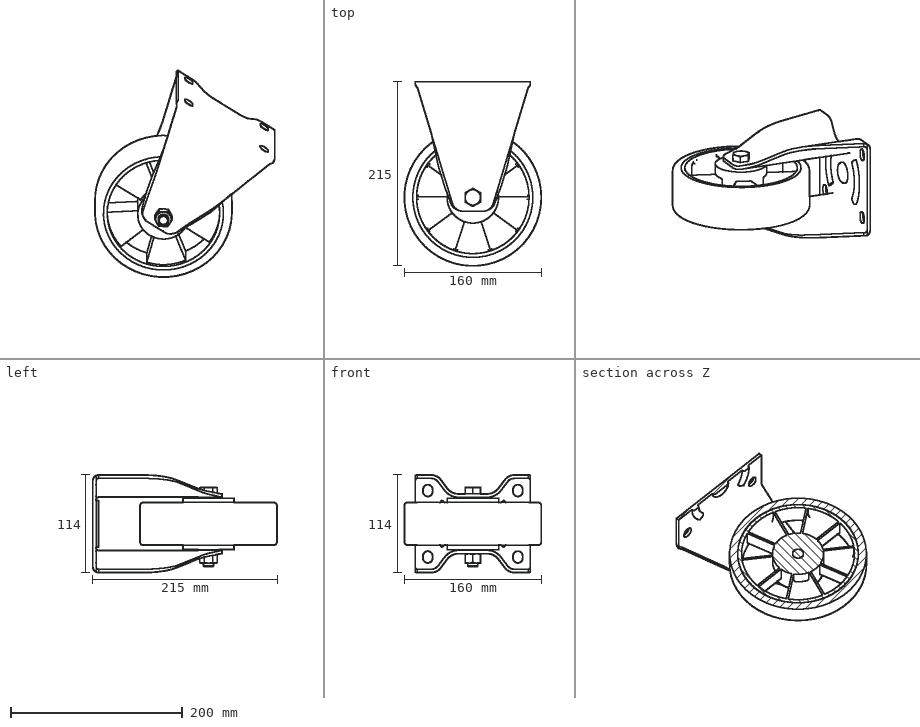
import cadquery as cq
import math


wheel_diameter = 160.0
wheel_width = 50.0
tread_edge_round = 4.0
core_radius = 70.0
rim_inner_radius = 65.6
hub_radius = 30.0
hub_length = 60.0
web_top = 18.5
web_thickness = 4.0
lowered_floor = web_thickness - web_top
sector_count = 5
sector_angle = 180.0 / sector_count
first_lowered_angle = 0.5 * sector_angle
first_raised_angle = 1.5 * sector_angle
wall_face_offset = 0.5
wall_thickness = 3.0
wall_edge_round = 2.4
floor_round = 2.0
wall_foot_round = 2.5

sheet = 4.0
plate_back = 135.0
plate_face = plate_back - sheet
plate_half_width = 67.2
bracket_height = 114.0
bend_radius = 7.0
leg_start = plate_back - bend_radius
leg_start_half_width = 64.7
leg_tip = -16.0
leg_taper = 0.303
leg_tip_round = 12.0
leg_spacing = 62.0
valley_half_width = 17.0
valley_radius = 16.0
crest_radius = 14.0
flank_angle = math.atan2(4, 3)

slot_pitch_x = 105.0
slot_pitch_z = 77.5
slot_width = 11.0
slot_length = 13.5

emboss_height = 3.0
emboss_arc_inner = 36.0
emboss_arc_outer = 45.5
emboss_arc_half_angle = 37.0
emboss_arc_round = 2.0
emboss_disc_radius = 12.5
emboss_disc_round = 2.9

bolt_diameter = 12.0
hex_across_flats = 18.0
head_height = 7.5
nut_height = 10.8
bolt_end = -50.0
bolt_tip_chamfer = 1.0
hex_chamfer_angle = math.radians(30)
washer_diameter = 25.0

leg_outer = leg_spacing / 2 + sheet
washer_height = (leg_spacing - hub_length) / 2


def ring(inner_radius, outer_radius, bottom, top):
    """Annulus about the Z axis."""
    return (
        cq.Workplane("XY", origin=(0, 0, bottom))
        .circle(outer_radius)
        .circle(inner_radius)
        .extrude(top - bottom)
    )


def make_tread():
    half_width = wheel_width / 2
    tread = ring(core_radius, wheel_diameter / 2, -half_width, half_width)
    rim_edges = cq.selectors.RadiusNthSelector(-1)
    return tread.edges("%CIRCLE").edges(rim_edges).fillet(tread_edge_round)


def sector_wedge(middle_angle, side_offset, bottom, top, foot_round=0, crown_round=0):
    """Wedge over one sector, its sides moved outward by side_offset, with rounded lower or upper sides."""
    half_angle = math.radians(sector_angle / 2)
    apex = -side_offset / math.sin(half_angle)
    near = hub_radius / 2
    far = 2 * core_radius
    near_half_width = (near - apex) * math.tan(half_angle)
    far_half_width = (far - apex) * math.tan(half_angle)
    wedge = (
        cq.Workplane("XY", origin=(0, 0, bottom))
        .polyline([
            (near, near_half_width),
            (near, -near_half_width),
            (far, -far_half_width),
            (far, far_half_width),
        ])
        .close()
        .extrude(top - bottom)
    )
    if foot_round:
        wedge = wedge.faces("<Z").edges("not |Y").fillet(foot_round)
    if crown_round:
        wedge = wedge.faces(">Z").edges("not |Y").fillet(crown_round)
    return wedge.rotate((0, 0, 0), (0, 0, 1), middle_angle)


def raised_sector(angle):
    """Raised plate with its two upright walls, open below."""
    block = sector_wedge(angle, wall_face_offset, -web_top, web_top, crown_round=wall_edge_round)
    hollow = sector_wedge(angle, wall_face_offset - wall_thickness, -web_top, web_top - web_thickness)
    return block.cut(hollow)


def lowered_sector(angle):
    """Lowered plate, swept up in a rounding where it meets the walls."""
    block = sector_wedge(angle, -wall_face_offset, -web_top, lowered_floor + wall_foot_round)
    return block.cut(
        sector_wedge(angle, -wall_face_offset, lowered_floor, web_top, foot_round=wall_foot_round)
    )


def rim_cove(floor):
    """Concave rounding ring in the corner between a web floor and the rim."""
    inner = rim_inner_radius - floor_round
    bend = floor_round * math.sqrt(0.5)
    return (
        cq.Workplane("XZ")
        .moveTo(inner, floor)
        .threePointArc((inner + bend, floor + floor_round - bend), (rim_inner_radius, floor + floor_round))
        .lineTo(core_radius, floor + floor_round)
        .lineTo(core_radius, floor)
        .close()
        .revolve(360, (0, 0, 0), (0, 1, 0))
    )


def make_core():
    half_width = wheel_width / 2
    rim = ring(rim_inner_radius, core_radius, -half_width, half_width)
    hub = ring(bolt_diameter / 2, hub_radius, -hub_length / 2, hub_length / 2)
    web_space = ring(hub_radius, rim_inner_radius, -half_width, half_width)
    core = hub.union(rim)
    raised_cove = rim_cove(web_top)
    lowered_cove = rim_cove(lowered_floor)
    for i in range(sector_count):
        turn = 2 * i * sector_angle
        raised_angle = first_raised_angle + turn
        lowered_angle = first_lowered_angle + turn
        core = core.union(raised_sector(raised_angle).intersect(web_space))
        core = core.union(lowered_sector(lowered_angle).intersect(web_space))
        raised_space = sector_wedge(
            raised_angle, wall_face_offset - wall_edge_round, web_top, half_width
        )
        lowered_space = sector_wedge(lowered_angle, -wall_face_offset, lowered_floor, web_top)
        core = core.union(raised_cove.intersect(raised_space))
        core = core.union(lowered_cove.intersect(lowered_space))
    return core


def corrugated_block(depth, half_width, front, back):
    """Block along Y whose top and bottom follow the leg corrugation, set in by depth."""
    sin_a = math.sin(flank_angle)
    cos_a = math.cos(flank_angle)
    valley_z = leg_outer - depth
    crest_z = bracket_height / 2 - depth
    valley_r = valley_radius + depth
    crest_r = crest_radius - depth
    rise = crest_z - valley_z
    flank_length = (rise - (valley_r + crest_r) * (1 - cos_a)) / sin_a
    crest_x = valley_half_width + (valley_r + crest_r) * sin_a + flank_length * cos_a

    def valley_point(angle):
        return (
            valley_half_width + valley_r * math.sin(angle),
            valley_z + valley_r * (1 - math.cos(angle)),
        )

    def crest_point(angle):
        return (
            crest_x - crest_r * math.sin(angle),
            crest_z - crest_r * (1 - math.cos(angle)),
        )

    quarter = (
        cq.Workplane("XZ", origin=(0, back, 0))
        .lineTo(0, valley_z)
        .lineTo(*valley_point(0))
        .threePointArc(valley_point(flank_angle / 2), valley_point(flank_angle))
        .lineTo(*crest_point(flank_angle))
        .threePointArc(crest_point(flank_angle / 2), crest_point(0))
        .lineTo(half_width, crest_z)
        .lineTo(half_width, 0)
        .close()
        .extrude(back - front)
    )
    half = quarter.union(quarter.mirror("YZ"))
    return half.union(half.mirror("XY")).clean()


def round_back(block, radius):
    return block.faces(">Y").edges("not |Z").fillet(radius)


def make_base():
    """Mounting plate with the bends that lead into the legs."""
    side_margin = 10.0
    front = leg_start - bend_radius
    outer = corrugated_block(0, plate_half_width + side_margin, front, plate_back)
    inner = corrugated_block(sheet, plate_half_width + 2 * side_margin, front, plate_face)
    bent = round_back(outer, bend_radius).cut(round_back(inner, bend_radius - sheet))
    outline = (
        cq.Workplane("XY")
        .polyline([
            (-leg_start_half_width, leg_start),
            (leg_start_half_width, leg_start),
            (plate_half_width, plate_face),
            (plate_half_width, plate_back),
            (-plate_half_width, plate_back),
            (-plate_half_width, plate_face),
        ])
        .close()
        .extrude(bracket_height, both=True)
    )
    return bent.intersect(outline)


def make_leg():
    """Upper leg: the trimmed outer surface, thickened inward so its edges stay square to the sheet."""
    tip_half_width = leg_start_half_width - leg_taper * (leg_start - leg_tip)
    outline = (
        cq.Workplane("XY")
        .polyline([
            (-leg_start_half_width, leg_start),
            (leg_start_half_width, leg_start),
            (tip_half_width, leg_tip),
            (-tip_half_width, leg_tip),
        ])
        .close()
        .extrude(bracket_height)
        .edges("|Z and <Y")
        .fillet(leg_tip_round)
        .val()
    )
    block = corrugated_block(0, plate_half_width, 2 * leg_tip, leg_start)
    surfaces = [
        face for face in block.faces("not(|X or |Y)").vals() + block.faces("|Z").vals()
        if face.Center().z > 0
    ]
    leg = cq.Workplane("XY")
    for surface in {face.hashCode(): face for face in surfaces}.values():
        for strip in surface.intersect(outline).Faces():
            leg = leg.add(strip.thicken(-sheet))
    return leg.combine(glue=False)


def plate_slots():
    return (
        cq.Workplane("XZ", origin=(0, plate_back, 0))
        .rect(slot_pitch_x, slot_pitch_z, forConstruction=True)
        .vertices()
        .slot2D(slot_length, slot_width, 90)
        .extrude(sheet)
    )


def emboss_arc():
    """Raised arc on the plate, concentric with the plate centre, on the -X side."""
    def at(radius, angle):
        return (-radius * math.cos(angle), radius * math.sin(angle))

    end = math.radians(emboss_arc_half_angle)
    return (
        cq.Workplane("XZ", origin=(0, plate_face, 0))
        .moveTo(*at(emboss_arc_inner, -end))
        .threePointArc(at(emboss_arc_inner, 0), at(emboss_arc_inner, end))
        .lineTo(*at(emboss_arc_outer, end))
        .threePointArc(at(emboss_arc_outer, 0), at(emboss_arc_outer, -end))
        .close()
        .extrude(emboss_height)
        .faces("<Y")
        .edges("%CIRCLE")
        .fillet(emboss_arc_round)
    )


def emboss_disc():
    return (
        cq.Workplane("XZ", origin=(0, plate_face, 0))
        .circle(emboss_disc_radius)
        .extrude(emboss_height)
        .faces("<Y")
        .edges()
        .fillet(emboss_disc_round)
    )


def make_bracket():
    leg = make_leg()
    arc = emboss_arc()
    bracket = make_base().union(leg).union(leg.mirror("XY"))
    bracket = bracket.cut(plate_slots())
    bracket = bracket.union(arc).union(arc.mirror("YZ")).union(emboss_disc())
    bolt_hole = cq.Workplane("XY").circle(bolt_diameter / 2).extrude(leg_outer, both=True)
    return bracket.cut(bolt_hole)


def hex_block(bottom, height, chamfer_bottom, chamfer_top):
    """Hexagon with corners along Y, its corners turned down to a cone at the chosen ends."""
    corner_radius = hex_across_flats / 2 / math.cos(math.pi / 6)
    drop = (corner_radius - hex_across_flats / 2) * math.tan(hex_chamfer_angle)
    flat_radius = hex_across_flats / 2
    bottom_radius = flat_radius if chamfer_bottom else corner_radius
    top_radius = flat_radius if chamfer_top else corner_radius
    turned = (
        cq.Workplane("XZ")
        .moveTo(0, bottom)
        .lineTo(bottom_radius, bottom)
        .lineTo(corner_radius, bottom + drop)
        .lineTo(corner_radius, bottom + height - drop)
        .lineTo(top_radius, bottom + height)
        .lineTo(0, bottom + height)
        .close()
        .revolve(360, (0, 0, 0), (0, 1, 0))
    )
    hexagon = (
        cq.Workplane("XY", origin=(0, 0, bottom))
        .polygon(6, 2 * corner_radius)
        .extrude(height)
        .rotate((0, 0, 0), (0, 0, 1), 30)
    )
    return hexagon.intersect(turned)


def make_bolt():
    shank = (
        cq.Workplane("XY", origin=(0, 0, bolt_end))
        .circle(bolt_diameter / 2)
        .extrude(leg_outer - bolt_end)
        .faces("<Z")
        .chamfer(bolt_tip_chamfer)
    )
    return shank.union(hex_block(leg_outer, head_height, False, True))


def make_nut():
    bore = cq.Workplane("XY").circle(bolt_diameter / 2).extrude(bolt_end)
    return hex_block(-leg_outer - nut_height, nut_height, True, True).cut(bore)


def make_washer(bottom):
    return ring(bolt_diameter / 2, washer_diameter / 2, bottom, bottom + washer_height)


tread = make_tread()
core = make_core()
bracket = make_bracket()
bolt = make_bolt()
nut = make_nut()
washers = [make_washer(bottom) for bottom in (hub_length / 2, -leg_spacing / 2)]

result = cq.Compound.makeCompound([
    tread.val(),
    core.val(),
    bracket.val(),
    bolt.val(),
    nut.val(),
    *[washer.val() for washer in washers],
])